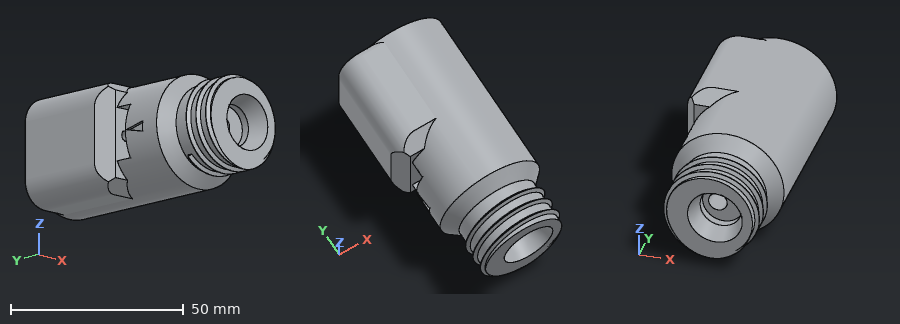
import cadquery as cq
import math


length = 71.9
body_diameter = 34.0
body_radius = body_diameter / 2
overall_width = 36.25

neck_radius = 13.0
neck_length = 14.5
shoulder_end = neck_length + (body_radius - neck_radius)

thread_pitch = 4.0
thread_height = 1.15
thread_root_width = 1.45
thread_crest_width = 0.15
thread_root_overlap = 0.2
thread_start_y = 12.65
thread_start_angle = math.radians(225)

grip_reach = overall_width - body_radius
grip_height = 33.15
grip_corner_radius = 8.0
grip_front_y = 36.9
grip_bevel_length = 5.0
grip_bevel_depth = 3.5
bevel_end_y = grip_front_y + grip_bevel_length
grip_back_round = 2.0

slot_length = 5.5
slot_height = 15.95
slot_end_radius = 15.0
slot_front_y = grip_front_y - slot_length

pin_hole_radius = 1.5
pin_hole_offset = 11.65
pin_hole_depth = 5.75

socket_offset = 1.65
socket_mouth_radius = 8.3
socket_floor_radius = 6.25
socket_taper_depth = 6.0
socket_depth = 8.5
passage_radius = 2.8

arrow_base_y = 24.4
arrow_length = 6.55
arrow_width = 3.0
arrow_depth = 1.0


def plane_at(y, x=0.0):
    """XZ sketch plane at the given y, with its normal along +Y and local x toward -X."""
    return cq.Plane(origin=(x, y, 0), xDir=(-1, 0, 0), normal=(0, 1, 0))


def rod(radius, start_y, end_y, x=0.0):
    """Cylinder parallel to Y."""
    return cq.Workplane(plane_at(start_y, x)).circle(radius).extrude(end_y - start_y)


def block(x_range, y_range, height):
    """Box between the given x and y limits, centred on z = 0."""
    size_x = x_range[1] - x_range[0]
    size_y = y_range[1] - y_range[0]
    box = cq.Workplane("XY").box(size_x, size_y, height, centered=(False, False, True))
    return box.translate((x_range[0], y_range[0], 0))


def make_body():
    half_profile = [
        (0, 0),
        (neck_radius, 0),
        (neck_radius, neck_length),
        (body_radius, shoulder_end),
        (body_radius, length),
        (0, length),
    ]
    return cq.Workplane("XY").polyline(half_profile).close().revolve(360, (0, 0, 0), (0, 1, 0))


def make_thread():
    """Right-handed ridge wound toward the neck face and trimmed flush with it."""
    wound_length = thread_start_y + thread_root_width
    helix = cq.Wire.makeHelix(thread_pitch, wound_length, neck_radius)
    slope = (thread_root_width - thread_crest_width) / 2 / thread_height
    half_base = thread_root_width / 2 + thread_root_overlap * slope
    half_crest = thread_crest_width / 2
    base_radius = neck_radius - thread_root_overlap
    crest_radius = neck_radius + thread_height
    ridge = (
        cq.Workplane("XZ")
        .polyline([
            (base_radius, -half_base),
            (crest_radius, -half_crest),
            (crest_radius, half_crest),
            (base_radius, half_base),
        ])
        .close()
        .sweep(cq.Workplane(obj=helix), isFrenet=True)
    )
    start_direction = (math.cos(thread_start_angle), 0, math.sin(thread_start_angle))
    start_plane = cq.Plane(origin=(0, thread_start_y, 0), xDir=start_direction, normal=(0, -1, 0))
    wound_ridge = cq.Workplane(obj=ridge.val().moved(cq.Location(start_plane)))
    return wound_ridge.intersect(rod(body_radius, 0, neck_length))


def make_grip():
    grip = block((-grip_reach, 0), (grip_front_y, length), grip_height)
    grip = grip.edges("|Y and <X").fillet(grip_corner_radius)
    grip = grip.faces(">Y").edges("not >X").fillet(grip_back_round)
    return grip.intersect(make_flank_slopes())


def make_flank_slopes():
    """Block whose top and bottom slope in toward the front of the grip."""
    half_height = grip_height / 2
    half_front = half_height - grip_bevel_depth
    end_outline = [
        (grip_front_y, -half_front),
        (bevel_end_y, -half_height),
        (length, -half_height),
        (length, half_height),
        (bevel_end_y, half_height),
        (grip_front_y, half_front),
    ]
    return cq.Workplane("YZ").polyline(end_outline).close().extrude(-grip_reach)


def make_outer_bevel():
    """Wedge that slopes the outer front of the grip and the body wall bulging behind it."""
    outline = [
        (-grip_reach, grip_front_y),
        (grip_bevel_depth - grip_reach, grip_front_y),
        (-grip_reach, bevel_end_y),
    ]
    return cq.Workplane("XY").polyline(outline).close().extrude(grip_height / 2, both=True)


def make_slot():
    """Straight-sided slot open toward -X, ending in an arc concentric with the body."""
    opening = block((-body_radius, 0), (slot_front_y, grip_front_y), slot_height)
    far_half = block((0, body_radius), (slot_front_y, grip_front_y), slot_height)
    far_end = far_half.intersect(rod(slot_end_radius, slot_front_y, grip_front_y))
    return opening.union(far_end)


def make_socket():
    half_profile = [
        (0, 0),
        (socket_mouth_radius, 0),
        (socket_floor_radius, socket_taper_depth),
        (socket_floor_radius, socket_depth),
        (0, socket_depth),
    ]
    socket = cq.Workplane("XY").polyline(half_profile).close().revolve(360, (0, 0, 0), (0, 1, 0))
    return socket.translate((socket_offset, 0, 0))


def make_arrow():
    """Triangular prism reaching inward from outside the body to the engraved floor."""
    floor_x = arrow_depth - body_radius
    outline = [
        (arrow_base_y, -arrow_width / 2),
        (arrow_base_y + arrow_length, 0),
        (arrow_base_y, arrow_width / 2),
    ]
    floor_plane = cq.Workplane("YZ", origin=(floor_x, 0, 0))
    return floor_plane.polyline(outline).close().extrude(-2 * arrow_depth)


pin_hole = rod(pin_hole_radius, grip_front_y, grip_front_y + pin_hole_depth, -pin_hole_offset)
passage = rod(passage_radius, 0, length)

result = make_body().union(make_thread()).union(make_grip())
cutters = [make_outer_bevel(), make_slot(), pin_hole, make_socket(), passage, make_arrow()]
for cutter in cutters:
    result = result.cut(cutter)